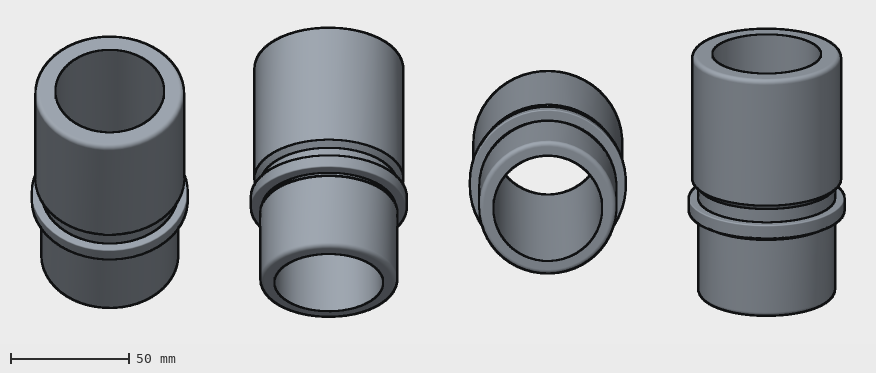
import cadquery as cq

bore_diameter = 46.0
body_diameter = 63.0
shank_diameter = 58.0
collar_diameter = 66.0
groove_diameter = 56.7

total_height = 108.0
shank_bevel_bottom = 35.0
collar_bottom = 37.0
collar_thickness = 6.0
body_bottom = 49.0

end_fillet = 2.0
collar_fillet = 0.5
shank_chamfer = (shank_diameter - groove_diameter) / 2
body_chamfer = (body_diameter - shank_diameter) / 2

groove_bottom = shank_bevel_bottom + shank_chamfer


def cylinder(diameter, bottom, top):
    """Solid cylinder on the Z axis between two heights."""
    return cq.Workplane("XY").workplane(offset=bottom).circle(diameter / 2).extrude(top - bottom)


def make_shank():
    """Lower cylinder, rounded at the bottom and bevelled at the groove."""
    shank = cylinder(shank_diameter, 0, groove_bottom)
    shank = shank.faces("<Z").edges().fillet(end_fillet)
    return shank.faces(">Z").edges().chamfer(shank_chamfer)


def make_groove_core():
    """Narrow relief between the shank and the collar."""
    return cylinder(groove_diameter, groove_bottom, collar_bottom)


def make_collar():
    """Locating flange with softened rims."""
    collar = cylinder(collar_diameter, collar_bottom, collar_bottom + collar_thickness)
    return collar.edges().fillet(collar_fillet)


def make_neck():
    """Short cylinder joining the collar to the body, as wide as the shank."""
    return cylinder(shank_diameter, collar_bottom + collar_thickness, body_bottom)


def make_body():
    """Upper cylinder, rounded at the top and tapering to the neck at the bottom."""
    body = cylinder(body_diameter, body_bottom, total_height)
    body = body.faces(">Z").edges().fillet(end_fillet)
    return body.faces("<Z").edges().chamfer(body_chamfer)


outside = make_shank()
for section in (make_groove_core(), make_collar(), make_neck(), make_body()):
    outside = outside.union(section)

result = outside.cut(cylinder(bore_diameter, 0, total_height))